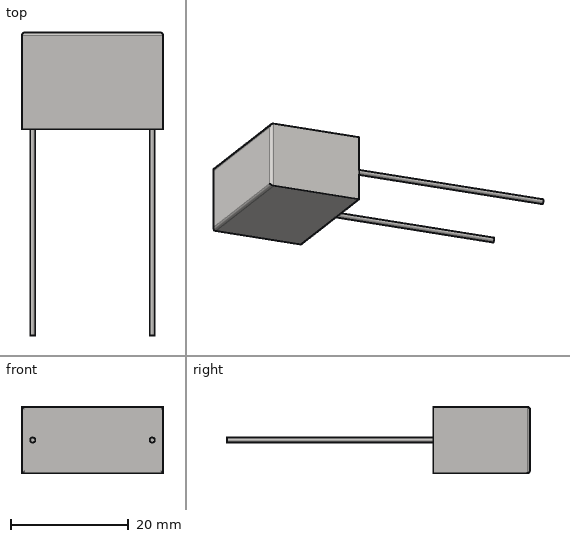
import cadquery as cq

CASE_WIDTH = 24.0
CASE_HEIGHT = 11.3
OVERALL_LENGTH = 51.5
LEAD_LENGTH = 35.0
CASE_LENGTH = OVERALL_LENGTH - LEAD_LENGTH
BACK_EDGE_RADIUS = 0.5

LEAD_DIAMETER = 0.9
LEAD_SPACING = 20.3


def make_case():
    """Box with its front face on Y = 0 and its back face edges rounded."""
    box = cq.Workplane("XY").box(
        CASE_WIDTH, CASE_LENGTH, CASE_HEIGHT, centered=(True, False, True)
    )
    return box.faces(">Y").edges().fillet(BACK_EDGE_RADIUS)


def make_lead(x):
    """Round wire at the given X, running from the case front toward -Y."""
    return cq.Workplane("XZ").center(x, 0).circle(LEAD_DIAMETER / 2).extrude(LEAD_LENGTH)


case = make_case()
leads = []
for side in (-1, 1):
    leads.append(make_lead(side * LEAD_SPACING / 2))

result = cq.Compound.makeCompound([case.val(), *[lead.val() for lead in leads]])